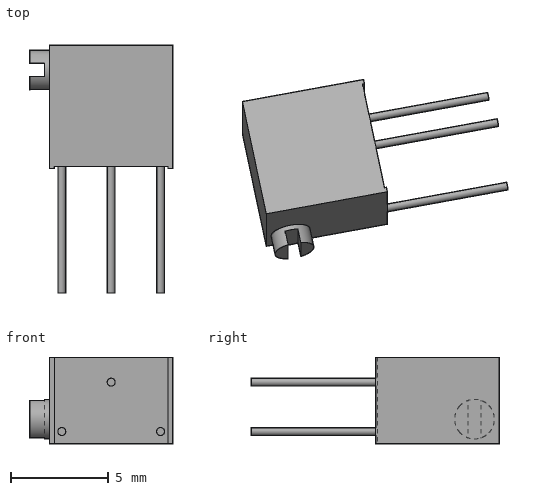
import cadquery as cq

body_width = 6.35
body_depth = 6.35
body_height = 4.45
total_length = 12.75

rail_width = 0.25
recess_depth = 0.1

screw_diameter = 2.04
screw_length = 1.02
screw_inset = 1.28
slot_width = 0.66
slot_depth = 0.76

pin_diameter = 0.41
pin_pitch = 2.54
lower_pin_height = 0.64

front_y = -body_depth
recess_y = front_y + recess_depth
pin_tip_y = -total_length


def make_body():
    """Block with its left bottom edge on X = 0, Z = 0 and its back on Y = 0."""
    block = cq.Workplane("XY").box(body_width, body_depth, body_height, centered=False)
    recess = cq.Workplane("XY").box(
        body_width - 2 * rail_width, recess_depth, body_height, centered=False
    )
    block = block.translate((0, front_y, 0))
    return block.cut(recess.translate((rail_width, front_y, 0)))


def make_screw():
    """Cylinder along -X with a vertical screwdriver slot across its end."""
    screw = (
        cq.Workplane("YZ")
        .center(-screw_inset, screw_inset)
        .circle(screw_diameter / 2)
        .extrude(-screw_length)
    )
    slot = cq.Workplane("XY").box(slot_depth, slot_width, screw_diameter)
    slot_x = -screw_length + slot_depth / 2
    return screw.cut(slot.translate((slot_x, -screw_inset, screw_inset)))


def make_pins():
    """Two low outer pins and one raised middle pin, pointing along -Y."""
    middle_x = body_width / 2
    upper_pin_height = lower_pin_height + pin_pitch
    positions = [
        (middle_x - pin_pitch, lower_pin_height),
        (middle_x, upper_pin_height),
        (middle_x + pin_pitch, lower_pin_height),
    ]
    return (
        cq.Workplane("XZ", origin=(0, recess_y, 0))
        .pushPoints(positions)
        .circle(pin_diameter / 2)
        .extrude(recess_y - pin_tip_y)
    )


result = make_body().union(make_screw()).union(make_pins())